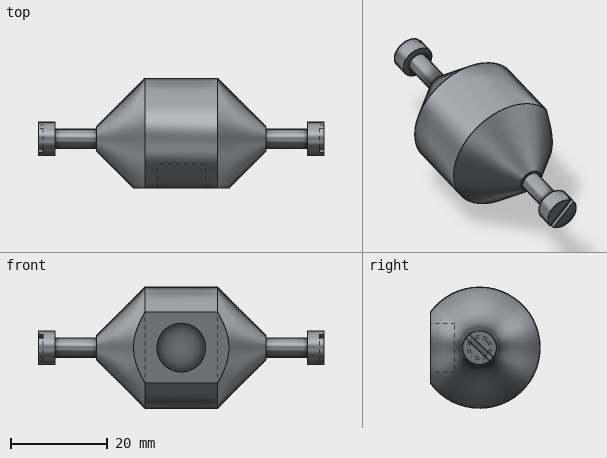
import cadquery as cq

total_length = 59.0
body_diameter = 25.0
body_radius = body_diameter / 2
barrel_length = 15.0
cone_tip_radius = 2.5
cone_length = body_radius - cone_tip_radius

flat_distance = 10.15
hole_diameter = 10.05
hole_depth = 5.0

shank_radius = 2.0
head_radius = 3.5
head_length = 3.5
slot_width = 1.05
slot_depth = 1.0
slot_angle = -43.5

half_length = total_length / 2
half_barrel = barrel_length / 2
cone_end = half_barrel + cone_length
head_start = half_length - head_length


def make_turned_part():
    """Revolve the body, shanks and heads about the X axis."""
    half_profile = [
        (half_barrel, body_radius),
        (cone_end, cone_tip_radius),
        (cone_end, shank_radius),
        (head_start, shank_radius),
        (head_start, head_radius),
        (half_length, head_radius),
        (half_length, 0),
    ]
    mirrored_profile = [(-x, r) for x, r in reversed(half_profile)]
    return (
        cq.Workplane("XY")
        .polyline(mirrored_profile + half_profile)
        .close()
        .revolve(360, (0, 0, 0), (1, 0, 0))
    )


def make_flat_cutter():
    """Block that removes everything beyond the flat."""
    return (
        cq.Workplane("XY")
        .box(total_length, body_radius, body_diameter)
        .translate((0, -flat_distance - body_radius / 2, 0))
    )


def make_hole_cutter():
    """Cylinder running from the flat into the body along +Y."""
    return (
        cq.Workplane("XZ", origin=(0, -flat_distance, 0))
        .circle(hole_diameter / 2)
        .extrude(-hole_depth)
    )


def make_slot_cutter(side):
    """Driver slot across the head on the given side (-1 or 1)."""
    slot_length = 2 * head_radius + slot_width
    return (
        cq.Workplane("XY")
        .box(slot_depth, slot_length, slot_width)
        .translate((side * (half_length - slot_depth / 2), 0, 0))
        .rotate((0, 0, 0), (1, 0, 0), slot_angle)
    )


result = make_turned_part().cut(make_flat_cutter()).cut(make_hole_cutter())
for side in (-1, 1):
    result = result.cut(make_slot_cutter(side))